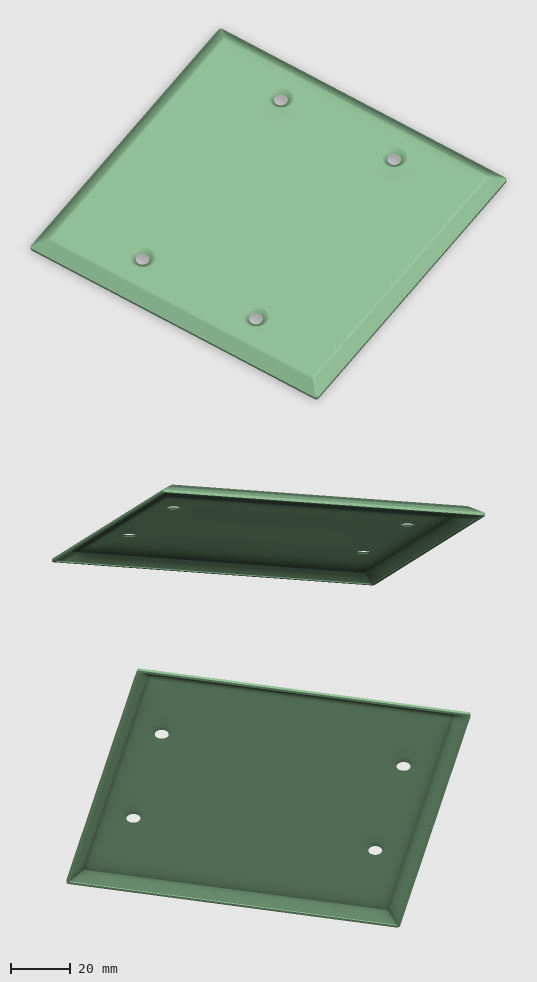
import cadquery as cq
import math

length = 116.6
width = 114.5
thickness = 4.0

rim_height = 0.9
bevel_inset = 4.8
bevel_height = thickness - rim_height
corner_radius = 1.0
top_edge_radius = 2.0

skin = 1.0

hole_spacing_x = 45.9
hole_spacing_y = 83.0
hole_diameter = 4.7
sink_diameter = 8.4


def bevelled_block(block_length, block_width, height, slope_height, slope_inset):
    """Block standing on Z = 0 with a sloping border around its top."""
    return (
        cq.Workplane("XY")
        .box(block_length, block_width, height, centered=(True, True, False))
        .faces(">Z")
        .chamfer(slope_height, slope_inset)
    )


def outer_plate():
    """Solid bevelled plate with softened corners and top edge."""
    block = bevelled_block(length, width, thickness, bevel_height, bevel_inset)
    softened_top = block.faces(">Z").edges().fillet(top_edge_radius)
    return softened_top.edges("not #Z").fillet(corner_radius)


def hollow():
    """Space under the plate, with its slope parallel to the outer bevel."""
    bevel_angle = math.atan2(bevel_height, bevel_inset)
    inner_rim_height = rim_height - skin * math.tan(math.pi / 4 - bevel_angle / 2)
    inner_height = thickness - skin
    inner_bevel_height = inner_height - inner_rim_height
    inner_bevel_inset = inner_bevel_height / math.tan(bevel_angle)
    return bevelled_block(
        length - 2 * skin,
        width - 2 * skin,
        inner_height,
        inner_bevel_height,
        inner_bevel_inset,
    )


def screw_holes():
    """Conical cutters narrowing from the top face to the underside of the skin."""
    sink_radius = sink_diameter / 2
    hole_radius = hole_diameter / 2
    cone = cq.Solid.makeCone(hole_radius, sink_radius, skin, pnt=cq.Vector(0, 0, thickness - skin))
    return (
        cq.Workplane("XY")
        .rarray(hole_spacing_x, hole_spacing_y, 2, 2)
        .eachpoint(lambda location: cone.moved(location))
    )


result = outer_plate().cut(hollow()).cut(screw_holes())